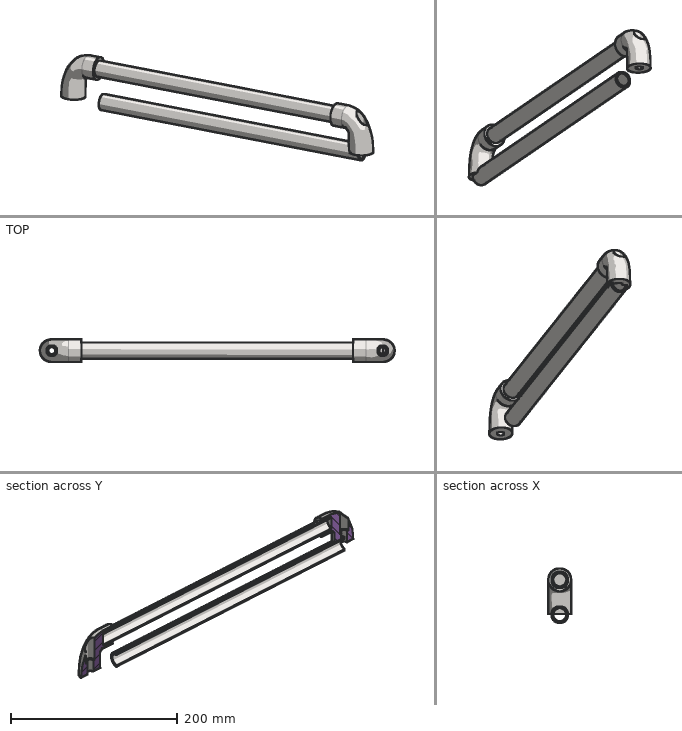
import cadquery as cq
import math


TUBE_OD = 20.0
TUBE_ID = 16.0
TUBE_LENGTH = 358.5
LOWER_TUBE_END = 200.0
LOWER_TUBE_Z = -42.0

RAIL_LENGTH = 427.5
BRACKET_WIDTH = 28.0
BRACKET_HEIGHT = 55.0
FOOT_DEPTH = 30.5
COLLAR_FACE_X = 163.8

SCREW_X = 199.2
SCREW_HEAD_DIA = 13.0
SCREW_DIA = 8.5
SCREW_SEAT_Z = -23.5

BEND_X = TUBE_LENGTH / 2
COLLAR_RADIUS = BRACKET_WIDTH / 2
FOOT_Z = COLLAR_RADIUS - BRACKET_HEIGHT
BACK_REACH = RAIL_LENGTH / 2 - BEND_X
CORNER_RADIUS = BACK_REACH - FOOT_DEPTH
CORNER_Z = -COLLAR_RADIUS - CORNER_RADIUS
LEG_MIDDLE_Z = (FOOT_Z + CORNER_Z) / 2
BEND_ANGLES = [0, 30, 60, 90]


def rod(start_x, length, diameter, axis_z):
    """Round bar along +X."""
    return cq.Workplane("YZ", origin=(start_x, 0, axis_z)).circle(diameter / 2).extrude(length)


def make_tube(start_x, axis_z):
    bore = rod(start_x, TUBE_LENGTH, TUBE_ID, axis_z)
    return rod(start_x, TUBE_LENGTH, TUBE_OD, axis_z).cut(bore)


def section(pivot_z, angle, near, far):
    """Ellipse spanning near..far along a ray tilted up from +X; its seam is on the +Y side."""
    ray_x = math.cos(math.radians(angle))
    ray_z = math.sin(math.radians(angle))
    middle = (near + far) / 2
    outline = cq.Edge.makeEllipse(
        BRACKET_WIDTH / 2,
        (far - near) / 2,
        pnt=cq.Vector(BEND_X + middle * ray_x, 0, pivot_z + middle * ray_z),
        dir=cq.Vector(-ray_z, 0, ray_x),
        xdir=cq.Vector(0, 1, 0),
        angle1=0,
        angle2=360,
    )
    return cq.Wire.assembleEdges([outline])


def distance_to_back(pivot_z, angle):
    """Distance from (BEND_X, pivot_z) along the tilted ray to the elliptical back."""
    ray_x = math.cos(math.radians(angle))
    ray_z = math.sin(math.radians(angle))
    rise = pivot_z - FOOT_Z
    a = (ray_x / BACK_REACH) ** 2 + (ray_z / BRACKET_HEIGHT) ** 2
    b = rise * ray_z / BRACKET_HEIGHT ** 2
    c = (rise / BRACKET_HEIGHT) ** 2 - 1
    return (math.sqrt(b * b - a * c) - b) / a


def bend_section(pivot_z, angle):
    back = distance_to_back(pivot_z, angle)
    return section(pivot_z, angle, CORNER_RADIUS, back)


def bracket_blank():
    """Right-hand bracket before its holes: leg, bend and collar."""
    leg = [bend_section(z, 0) for z in (FOOT_Z, LEG_MIDDLE_Z)]
    bend = [bend_section(CORNER_Z, angle) for angle in BEND_ANGLES]
    collar = rod(COLLAR_FACE_X, BEND_X - COLLAR_FACE_X, BRACKET_WIDTH, 0)
    return cq.Workplane(cq.Solid.makeLoft(leg + bend)).union(collar)


def screw_bore(diameter, bottom_z):
    """Vertical cutter from bottom_z up past the top of the bracket."""
    return (
        cq.Workplane("XY", origin=(SCREW_X, 0, bottom_z))
        .circle(diameter / 2)
        .extrude(BRACKET_HEIGHT)
    )


def make_bracket():
    """Right-hand bracket with its tube socket and stepped screw hole."""
    socket = rod(COLLAR_FACE_X, BEND_X - COLLAR_FACE_X, TUBE_OD, 0)
    shank_hole = screw_bore(SCREW_DIA, FOOT_Z)
    head_hole = screw_bore(SCREW_HEAD_DIA, SCREW_SEAT_Z)
    return bracket_blank().cut(socket).cut(shank_hole).cut(head_hole)


lower_tube_start = LOWER_TUBE_END - TUBE_LENGTH
tube_places = [(-TUBE_LENGTH / 2, 0), (lower_tube_start, LOWER_TUBE_Z)]
tubes = [make_tube(start_x, axis_z) for start_x, axis_z in tube_places]

foot_channel = rod(lower_tube_start, TUBE_LENGTH, TUBE_OD, LOWER_TUBE_Z)
brackets = [make_bracket().mirror("YZ"), make_bracket().cut(foot_channel)]

result = cq.Compound.makeCompound([body.solids().val() for body in tubes + brackets])